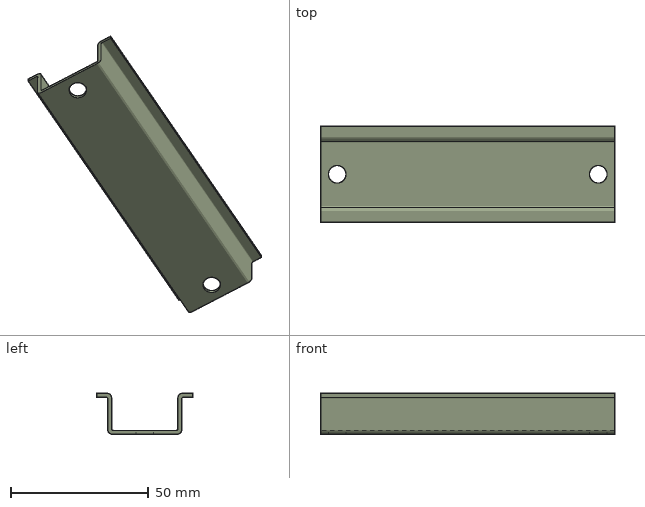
import cadquery as cq
import math

length = 107.0
width = 35.0
height = 15.0
sheet = 1.5

channel_outer = 27.0
outer_radius = 1.8
inner_radius = 0.55

hole_diameter = 6.3
hole_spacing = 95.0

match_tolerance = 0.01

half_width = width / 2
half_outer = channel_outer / 2
half_inner = half_outer - sheet


def rail_profile():
    """Closed hat section in the YZ plane, with sharp corners."""
    right_half = [
        (half_outer, 0),
        (half_outer, height - sheet),
        (half_width, height - sheet),
        (half_width, height),
        (half_inner, height),
        (half_inner, sheet),
    ]
    left_half = [(-y, z) for y, z in reversed(right_half)]
    return cq.Workplane("YZ").polyline(right_half + left_half).close()


def bend_edges(rail, corners):
    """Select the lengthwise edges at the given (|Y|, Z) corners, on both sides."""

    def is_bend(edge):
        center = edge.Center()
        return any(
            math.isclose(abs(center.y), y, abs_tol=match_tolerance)
            and math.isclose(center.z, z, abs_tol=match_tolerance)
            for y, z in corners
        )

    return rail.newObject([edge for edge in rail.edges("|X").vals() if is_bend(edge)])


def make_rail():
    """Rail along X, centred on the origin, with every bend rounded."""
    rail = rail_profile().extrude(length / 2, both=True)
    outside_corners = [(half_outer, 0), (half_inner, height)]
    inside_corners = [(half_outer, height - sheet), (half_inner, sheet)]
    rail = bend_edges(rail, outside_corners).fillet(outer_radius)
    return bend_edges(rail, inside_corners).fillet(inner_radius)


def mounting_holes():
    """Cylinders that pierce the floor near each end."""
    return (
        cq.Workplane("XY")
        .pushPoints([(-hole_spacing / 2, 0), (hole_spacing / 2, 0)])
        .circle(hole_diameter / 2)
        .extrude(sheet)
    )


result = make_rail().cut(mounting_holes())